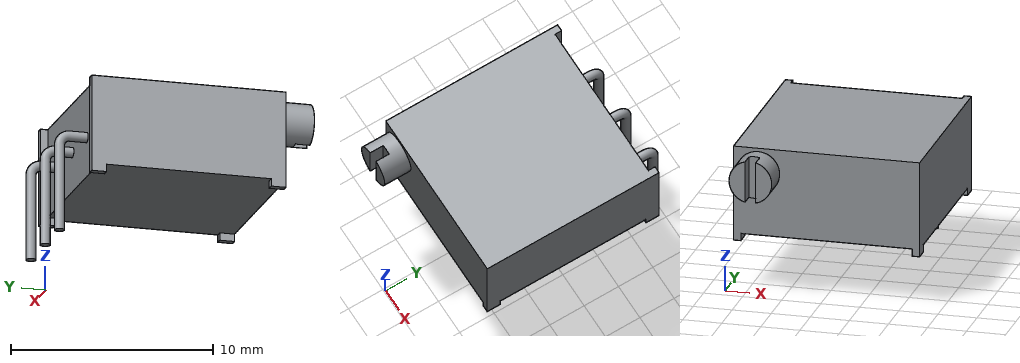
import cadquery as cq


HOUSING_WIDTH = 9.53
HOUSING_LENGTH = 10.0
HOUSING_HEIGHT = 4.95
STANDOFF = 0.38
FOOT_LENGTH = 0.76

SCREW_DIAMETER = 2.19
SCREW_LENGTH = 1.525
SCREW_INSET = 1.27
SLOT_WIDTH = 0.55
SLOT_DEPTH = 0.76

LEAD_COUNT = 3
LEAD_PITCH = 2.54
LEAD_DIAMETER = 0.51
LEAD_REACH = 1.275
LEAD_DROP = 2.54
OVERALL_HEIGHT = 7.46
BEND_RADIUS = 0.51


def make_housing():
    body = cq.Workplane("XY").box(
        HOUSING_WIDTH, HOUSING_LENGTH, HOUSING_HEIGHT, centered=(True, False, False)
    )
    inner_width = HOUSING_WIDTH - 2 * STANDOFF
    inner_length = HOUSING_LENGTH - 2 * FOOT_LENGTH

    lengthwise_channel = cq.Workplane("XY").box(
        inner_width, HOUSING_LENGTH, STANDOFF, centered=(True, False, False)
    )
    crosswise_channel = (
        cq.Workplane("XY")
        .box(HOUSING_WIDTH, inner_length, STANDOFF, centered=(True, False, False))
        .translate((0, FOOT_LENGTH, 0))
    )
    rear_recess = (
        cq.Workplane("XY")
        .box(inner_width, STANDOFF, HOUSING_HEIGHT, centered=(True, False, False))
        .translate((0, HOUSING_LENGTH - STANDOFF, 0))
    )
    return body.cut(lengthwise_channel).cut(crosswise_channel).cut(rear_recess)


def make_screw():
    screw_x = SCREW_INSET - HOUSING_WIDTH / 2
    screw_z = HOUSING_HEIGHT - SCREW_INSET
    head = cq.Workplane("XZ").center(screw_x, screw_z).circle(SCREW_DIAMETER / 2).extrude(SCREW_LENGTH)
    slot = (
        cq.Workplane("XY")
        .box(SLOT_WIDTH, SLOT_DEPTH, SCREW_DIAMETER, centered=(True, False, True))
        .translate((screw_x, -SCREW_LENGTH, screw_z))
    )
    return head.cut(slot)


def make_lead(x):
    """Round lead leaving the rear recess horizontally, then bent straight down."""
    start_y = HOUSING_LENGTH - STANDOFF
    down_y = HOUSING_LENGTH + LEAD_REACH - LEAD_DIAMETER / 2
    exit_z = HOUSING_HEIGHT - LEAD_DROP
    tip_z = HOUSING_HEIGHT - OVERALL_HEIGHT
    path = (
        cq.Workplane("YZ", origin=(x, 0, 0))
        .moveTo(start_y, exit_z)
        .lineTo(down_y - BEND_RADIUS, exit_z)
        .tangentArcPoint((BEND_RADIUS, -BEND_RADIUS))
        .lineTo(down_y, tip_z)
    )
    return cq.Workplane("XZ", origin=(x, start_y, exit_z)).circle(LEAD_DIAMETER / 2).sweep(path)


housing = make_housing()
screw = make_screw()
leads = [make_lead((i - (LEAD_COUNT - 1) / 2) * LEAD_PITCH) for i in range(LEAD_COUNT)]

result = cq.Compound.makeCompound([housing.val(), screw.val(), *[lead.val() for lead in leads]])